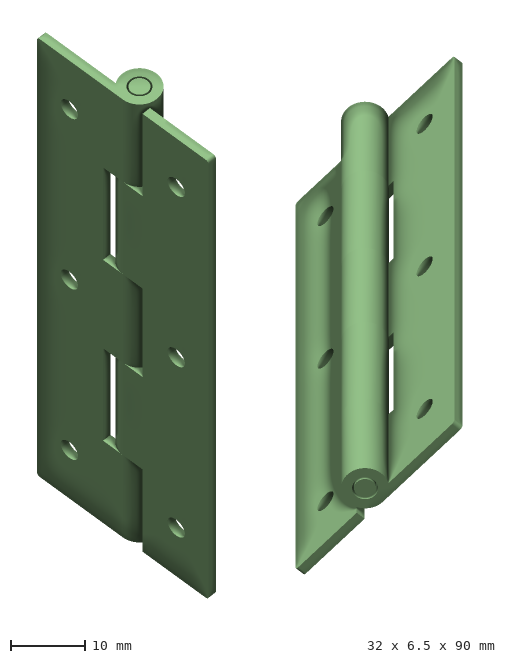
import cadquery as cq

length = 90.0
width = 32.0
barrel_diameter = 6.5
leaf_thickness = 1.4

barrel_radius = barrel_diameter / 2
bore_diameter = 3.5
pin_diameter = 3.0
middle_knuckle_length = 18.2
end_knuckle_length = 16.9
notch_depth = 3.7

corner_radius = 0.5
screw_hole_diameter = 3.2
screw_hole_offset = 10.0
screw_hole_pitch = 35.0

LEFT = -1
RIGHT = 1

half_length = length / 2
half_middle = middle_knuckle_length / 2
end_knuckle_start = half_length - end_knuckle_length
left_knuckles = [
    (-half_length, -end_knuckle_start),
    (-half_middle, half_middle),
    (end_knuckle_start, half_length),
]
right_knuckles = [
    (-end_knuckle_start, -half_middle),
    (half_middle, end_knuckle_start),
]


def make_plate(side, inner_edge, outer_edge, z_start, z_end):
    """Flat strip between two distances from the pin axis, on one side of it."""
    return (
        cq.Workplane("XY")
        .box(outer_edge - inner_edge, leaf_thickness, z_end - z_start)
        .translate((
            side * (inner_edge + outer_edge) / 2,
            leaf_thickness / 2 - barrel_radius,
            (z_start + z_end) / 2,
        ))
    )


def make_cylinder(diameter, z_start, z_end):
    """Cylinder around the pin axis."""
    return cq.Workplane("XY").workplane(offset=z_start).circle(diameter / 2).extrude(z_end - z_start)


def make_screw_holes(side):
    """Cutters for the row of screw holes in one leaf."""
    return (
        cq.Workplane("XZ")
        .pushPoints([(side * screw_hole_offset, row * screw_hole_pitch) for row in (-1, 0, 1)])
        .circle(screw_hole_diameter / 2)
        .extrude(barrel_diameter, both=True)
    )


def make_leaf(side, knuckles):
    """One hinge leaf: plate with rounded outer corners, knuckles, bore and screw holes."""
    leaf = make_plate(side, notch_depth, width / 2, -half_length, half_length)
    outer_face = ">X" if side == RIGHT else "<X"
    leaf = leaf.faces(outer_face).edges("|Y").fillet(corner_radius)
    for z_start, z_end in knuckles:
        leaf = leaf.union(make_plate(side, 0, notch_depth, z_start, z_end))
        leaf = leaf.union(make_cylinder(barrel_diameter, z_start, z_end))
    leaf = leaf.cut(make_cylinder(bore_diameter, -half_length, half_length))
    return leaf.cut(make_screw_holes(side))


def make_pin():
    """Plain hinge pin, as long as the barrel and loose in its bore."""
    return make_cylinder(pin_diameter, -half_length, half_length)


left_leaf = make_leaf(LEFT, left_knuckles)
right_leaf = make_leaf(RIGHT, right_knuckles)
pin = make_pin()

result = cq.Compound.makeCompound([left_leaf.val(), right_leaf.val(), pin.val()])